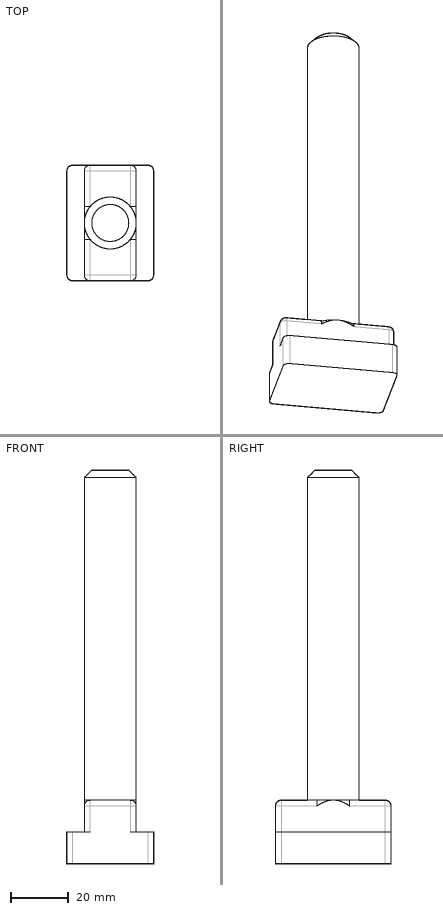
import cadquery as cq
import math

total_height = 136.0
base_width = 30.0
head_length = 40.0
base_height = 11.0
head_height = 22.0
rod_diameter = 18.0
edge_radius = 2.0
rod_chamfer = 2.6

neck_width = rod_diameter
neck_height = head_height - base_height
rod_radius = rod_diameter / 2

rounding_inner_x = neck_width / 2 - edge_radius
rounding_stop_y = math.sqrt(rod_radius**2 - rounding_inner_x**2)


def make_base():
    """Wide lower block with rounded upright corners."""
    block = cq.Workplane("XY").box(base_width, head_length, base_height, centered=(True, True, False))
    return block.edges("|Z").fillet(edge_radius)


def make_neck_block(length):
    """Sharp-edged block of the neck section, centred on the rod and standing on the base."""
    return (
        cq.Workplane("XY")
        .workplane(offset=base_height)
        .box(neck_width, length, neck_height, centered=(True, True, False))
    )


def make_foot_cone():
    """Cone flaring down from the rod, reaching the neck sides at the full rounding depth."""
    foot_spread = math.hypot(neck_width / 2, rounding_stop_y) - rod_radius
    bottom_radius = rod_radius + foot_spread * neck_height / edge_radius
    cone = cq.Solid.makeCone(bottom_radius, rod_radius, neck_height, cq.Vector(0, 0, base_height))
    return cq.Workplane("XY").add(cone)


def make_neck():
    """Rounded upper block whose middle stretch slopes away from the rod instead."""
    rounded = make_neck_block(head_length).edges("|Z or >Z").fillet(edge_radius)
    middle = make_neck_block(2 * rounding_stop_y)
    sloped_middle = middle.intersect(make_foot_cone())
    lower_middle = middle.translate((0, 0, -edge_radius))
    return rounded.cut(middle).union(sloped_middle).union(lower_middle)


def make_rod():
    """Round rod rising from the base, chamfered at its free end."""
    return (
        cq.Workplane("XY")
        .workplane(offset=base_height)
        .circle(rod_radius)
        .extrude(total_height - base_height)
        .faces(">Z")
        .chamfer(rod_chamfer)
    )


result = make_base().union(make_neck()).union(make_rod())